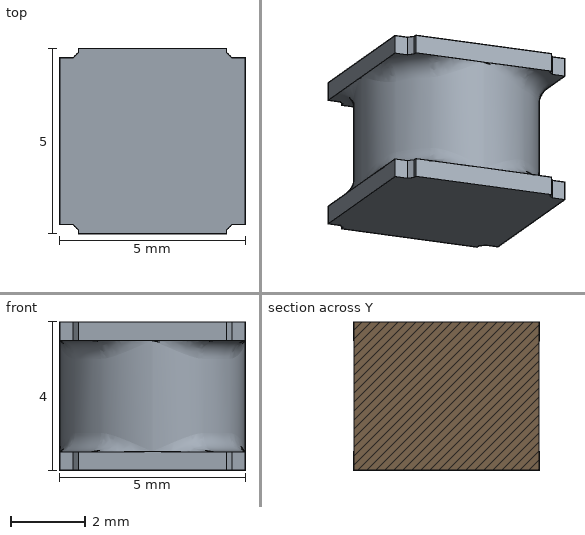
import cadquery as cq

WIDTH = 5.0
HEIGHT = 4.0
FLANGE_THICKNESS = 0.5
SIDE_CLEARANCE = 0.0001
FILLET_RADIUS = 0.5
NOTCH_LENGTH_X = 0.5
NOTCH_LENGTH_Y = 0.25
NOTCH_CHAMFER = 0.14

HALF_WIDTH = WIDTH / 2
CORE_RADIUS = HALF_WIDTH - SIDE_CLEARANCE
CORE_LENGTH = HEIGHT - 2 * FLANGE_THICKNESS


def flange(bottom_z):
    """Square flange plate with its underside at bottom_z."""
    return (
        cq.Workplane("XY")
        .workplane(offset=bottom_z)
        .rect(WIDTH, WIDTH)
        .extrude(FLANGE_THICKNESS)
    )


def core():
    """Cylinder between the flanges."""
    return (
        cq.Workplane("XY")
        .workplane(offset=FLANGE_THICKNESS)
        .circle(CORE_RADIUS)
        .extrude(CORE_LENGTH)
    )


def spool():
    """Core joined to both flanges, with the two joints filleted.

    The fillets fade out where the core comes close to the flange sides.
    """
    joined = core().union(flange(0)).union(flange(HEIGHT - FLANGE_THICKNESS))
    return joined.edges("%CIRCLE").fillet(FILLET_RADIUS)


def corner_notch(side_x, side_y):
    """Cutter for one corner of both flanges: a rectangle with its inner corner cut off."""
    inner_x = HALF_WIDTH - NOTCH_LENGTH_X
    inner_y = HALF_WIDTH - NOTCH_LENGTH_Y
    outline = [
        (HALF_WIDTH, HALF_WIDTH),
        (HALF_WIDTH, inner_y),
        (inner_x + NOTCH_CHAMFER, inner_y),
        (inner_x, inner_y + NOTCH_CHAMFER),
        (inner_x, HALF_WIDTH),
    ]
    points = [(side_x * x, side_y * y) for x, y in outline]
    return cq.Workplane("XY").polyline(points).close().extrude(HEIGHT)


result = spool()
for side_x in (-1, 1):
    for side_y in (-1, 1):
        result = result.cut(corner_notch(side_x, side_y))